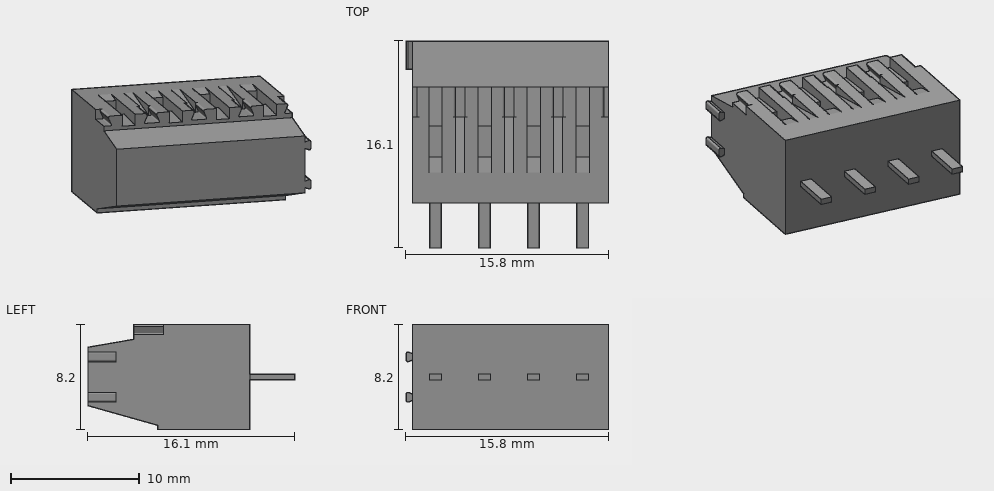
import cadquery as cq
import math

overall_width = 15.75
overall_length = 16.1

poles = 4
pitch = 3.82
width = poles * pitch
depth = 12.6
height = 8.2

upper_step_y = 9.05
lower_step_y = 7.18
lower_step_height = 0.34
nose_bottom_z = 1.87
nose_top_z = 6.42
slot_front_y = 2.38

pin_width = 0.92
pin_thickness = 0.45
pin_length = overall_length - depth
pin_x = 1.8
pin_z = height / 2

wide_slot_width = 1.05
ledge_y = 3.6
lip_y = 5.99
slot_depth = 1.16
lip_depth = 0.72
lip_angle = 3

groove_front_y = 6.71
groove_depth = 0.79
groove_throat = 0.74
groove_floor_width = 1.29
groove_lip_radius = 0.16
groove_corner_radius = 0.08
groove_shift = 0.08
ramp_slot_width = 0.71
ramp_slot_shift = 0.11

rib_length = 2.2
rib_height = overall_width - width
rib_root_width = 0.53
rib_width = 0.77
rib_round = 0.16
rib_levels = (2.53, 5.67)


def extrude_along_x(points, start_x, length):
    """Extrude a (Y, Z) outline towards +X."""
    return cq.Workplane("YZ", origin=(start_x, 0, 0)).polyline(points).close().extrude(length)


def slope_z(y):
    """Height of the upper nose slope, which rises from the rear to the slot fronts."""
    return nose_top_z + (height - nose_top_z) * (depth - y) / (depth - slot_front_y)


def make_housing():
    outline = [
        (0, 0),
        (lower_step_y, 0),
        (lower_step_y, lower_step_height),
        (depth, nose_bottom_z),
        (depth, nose_top_z),
        (upper_step_y, slope_z(upper_step_y)),
        (upper_step_y, height),
        (0, height),
    ]
    return extrude_along_x(outline, 0, width)


def make_wide_slot(center_x):
    lip_z = height - lip_depth
    lip_drop = (upper_step_y - lip_y) * math.tan(math.radians(lip_angle))
    outline = [
        (slot_front_y, height),
        (ledge_y, slope_z(ledge_y)),
        (ledge_y, height - slot_depth),
        (lip_y, height - slot_depth),
        (lip_y, lip_z),
        (upper_step_y, lip_z - lip_drop),
        (upper_step_y, height),
    ]
    return extrude_along_x(outline, center_x - wide_slot_width / 2, wide_slot_width)


def make_ramp_slot(center_x):
    outline = [
        (slot_front_y, height),
        (groove_front_y, slope_z(groove_front_y)),
        (groove_front_y, height),
    ]
    return extrude_along_x(outline, center_x - ramp_slot_width / 2, ramp_slot_width)


def make_groove(center_x):
    """Groove with rounded lips, undercut flanks and rounded floor corners, open at the upper step."""
    throat = groove_throat / 2
    floor = groove_floor_width / 2
    mouth = throat + groove_lip_radius
    arc_drop = groove_lip_radius * (1 - math.sqrt(0.5))
    arc_side = throat + arc_drop
    return (
        cq.Workplane("XZ", origin=(center_x, upper_step_y, height))
        .moveTo(-mouth, 0)
        .threePointArc((-arc_side, -arc_drop), (-throat, -groove_lip_radius))
        .lineTo(-floor, -groove_depth)
        .lineTo(floor, -groove_depth)
        .lineTo(throat, -groove_lip_radius)
        .threePointArc((arc_side, -arc_drop), (mouth, 0))
        .close()
        .extrude(upper_step_y - groove_front_y)
        .edges("|Y")
        .edges("<Z")
        .fillet(groove_corner_radius)
    )


def make_pin(center_x):
    return (
        cq.Workplane("XZ", origin=(center_x, 0, pin_z))
        .rect(pin_width, pin_thickness)
        .extrude(pin_length)
    )


def make_rib(level):
    """Rib that widens away from the left face and has a rounded head."""
    root = rib_root_width / 2
    half = rib_width / 2
    tip = half - rib_round
    shoulder_x = rib_round - rib_height
    arc_x = shoulder_x - rib_round * math.sqrt(0.5)
    arc_z = tip + rib_round * math.sqrt(0.5)
    return (
        cq.Workplane("XZ", origin=(0, depth, level))
        .moveTo(0, -root)
        .lineTo(shoulder_x, -half)
        .threePointArc((arc_x, -arc_z), (-rib_height, -tip))
        .lineTo(-rib_height, tip)
        .threePointArc((arc_x, arc_z), (shoulder_x, half))
        .lineTo(0, root)
        .close()
        .extrude(rib_length)
    )


result = make_housing()

for pole in range(poles):
    pole_x = pin_x + pole * pitch
    result = result.cut(make_wide_slot(pole_x)).union(make_pin(pole_x))

for boundary in range(1, poles):
    boundary_x = boundary * pitch
    result = result.cut(make_groove(boundary_x - groove_shift))
    result = result.cut(make_ramp_slot(boundary_x - ramp_slot_shift))

for end_x in (0, width):
    result = result.cut(make_groove(end_x))

for rib_level in rib_levels:
    result = result.union(make_rib(rib_level))